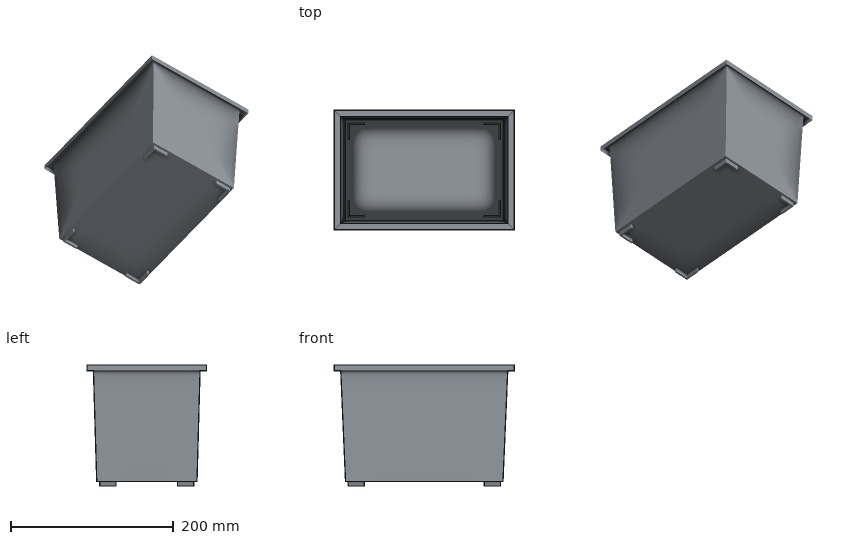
import cadquery as cq

LIP_LENGTH = 221.89
LIP_WIDTH = 147.45
TOTAL_HEIGHT = 149.15

SHEET = 0.02
LIP_DROP = 7.3
TOP_HALF_X = 103.17
TOP_HALF_Y = 65.93
FLOOR_HALF_X = 97.0
FLOOR_FRONT_Y = 61.96
FLOOR_BACK_Y = 61.70

FOOT_HEIGHT = 5.6
FOOT_LEG = 20.5
FOOT_THICKNESS = 2.4
FEET_SPAN_X = 188.2
FEET_SPAN_Y = 116.2

LIP_BOTTOM = TOTAL_HEIGHT - LIP_DROP


def rectangle(half_x, front, back):
    """Corner points of a rectangle reaching `front` toward -Y and `back` toward +Y."""
    return [(-half_x, -front), (half_x, -front), (half_x, back), (-half_x, back)]


def tapered_block(inset, bottom):
    """Solid between the four sloping walls, moved in by `inset`, from `bottom` to the lip top."""
    lower = rectangle(FLOOR_HALF_X - inset, FLOOR_FRONT_Y - inset, FLOOR_BACK_Y - inset)
    upper = rectangle(TOP_HALF_X - inset, TOP_HALF_Y - inset, TOP_HALF_Y - inset)
    return (
        cq.Workplane("XY", origin=(0, 0, bottom))
        .polyline(lower)
        .close()
        .workplane(offset=TOTAL_HEIGHT - bottom)
        .polyline(upper)
        .close()
        .loft(combine=True)
    )


def lip_sides(outer_walls):
    """Four mitred lip sides, each a flat flange with a turned-down skirt, hollow underneath."""
    hollow = (
        cq.Workplane("XY", origin=(0, 0, LIP_BOTTOM))
        .rect(LIP_LENGTH - 2 * SHEET, LIP_WIDTH - 2 * SHEET)
        .extrude(LIP_DROP - SHEET)
        .cut(outer_walls)
    )
    outer = rectangle(LIP_LENGTH / 2, LIP_WIDTH / 2, LIP_WIDTH / 2)
    inner = rectangle(TOP_HALF_X - SHEET, TOP_HALF_Y - SHEET, TOP_HALF_Y - SHEET)
    sides = []
    for start in range(4):
        end = (start + 1) % 4
        side = (
            cq.Workplane("XY", origin=(0, 0, LIP_BOTTOM))
            .polyline([outer[start], outer[end], inner[end], inner[start]])
            .close()
            .extrude(LIP_DROP)
        )
        sides.append(side.cut(hollow))
    return sides


def make_tub():
    """One-piece tub; the joints of the mitred lip stay as edges on its top face."""
    outer_walls = tapered_block(0, FOOT_HEIGHT)
    cavity = tapered_block(SHEET, FOOT_HEIGHT + SHEET)
    body = outer_walls
    for side in lip_sides(outer_walls):
        body = body.union(side, clean=False)
    return body.cut(cavity, clean=False)


def make_foot(side_x, side_y):
    """L-shaped foot with its outer corner toward (side_x, side_y)."""
    corner_x = side_x * FEET_SPAN_X / 2
    corner_y = side_y * FEET_SPAN_Y / 2
    legs = [
        (0, 0),
        (FOOT_LEG, 0),
        (FOOT_LEG, FOOT_THICKNESS),
        (FOOT_THICKNESS, FOOT_THICKNESS),
        (FOOT_THICKNESS, FOOT_LEG),
        (0, FOOT_LEG),
    ]
    outline = [(corner_x - side_x * x, corner_y - side_y * y) for x, y in legs]
    return cq.Workplane("XY").polyline(outline).close().extrude(FOOT_HEIGHT)


tub = make_tub()
feet = [make_foot(side_x, side_y) for side_x in (-1, 1) for side_y in (-1, 1)]

result = cq.Compound.makeCompound([tub.solids().val(), *[foot.val() for foot in feet]])